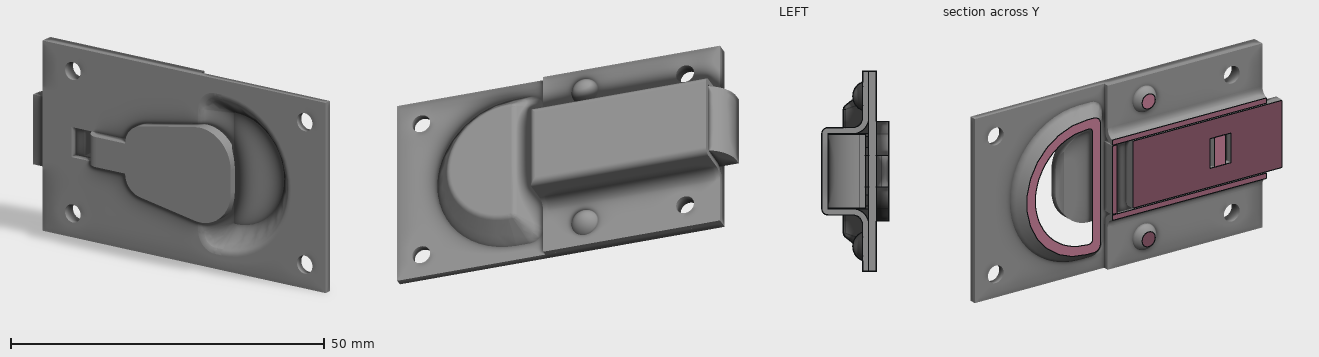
import cadquery as cq
import math


plate_length = 55.2
plate_height = 32.0
plate_thickness = 1.2

screw_hole_diameter = 3.0
screw_hole_near_x = 5.95
screw_hole_far_x = plate_length - 4.1
fastener_z = 12.0
rivet_x = 22.95
rivet_diameter = 2.7
rivet_head_diameter = 4.55
rivet_head_height = 1.6

dish_x = 34.9
dish_depth = 4.1
dish_inner_rim = (13.0, -4.0, 2.6)
dish_inner_floor = (9.35, -0.4, 0.2)
dish_outer_rim = (13.45, -4.55, 2.25)
dish_outer_floor = (10.25, -1.05, 0.45)
dish_bend_radius = 1.0
dish_rim_radius = 1.2
rim_margin = 0.6

sheet = 1.0
housing_length = 30.05
housing_depth = 7.5
housing_inner_height = 12.0
housing_corner_radius = 1.0
flange_bend_radius = 1.6

bolt_overhang = 3.0
bolt_height = 11.75
bolt_gap = 0.5
bolt_nose_radius = 5.0

handle_thickness = 2.0
arm_width = 5.05
arm_bend_x = 11.8
arm_bend_radius = 2.05
arm_bend_angle = 65.0
arm_tip_x = 7.05
pad_start_x = 17.5
pad_end_x = 38.05
pad_small_radius = 3.5
pad_large_radius = 6.0
pad_large_centre_z = 2.0
scoop_length = 1.1
scoop_depth = 0.8
scoop_sag = 0.1

slot_start_x = 5.65
slot_length = 9.0

guide_start_x = 15.7
guide_width = 11.05
guide_tongue_width = 7.55

rivet_points = [(rivet_x, -fastener_z), (rivet_x, fastener_z)]
plate_back = plate_thickness
flange_back = plate_back + sheet
housing_back = plate_back + housing_depth
bolt_front = plate_back + bolt_gap
bolt_back = housing_back - sheet
bolt_end_x = housing_length - sheet - bolt_overhang
arm_angle = math.radians(arm_bend_angle)
arm_slope = math.tan(arm_angle)
bend_end_x = arm_bend_x - arm_bend_radius * math.sin(arm_angle)
bend_end_y = -handle_thickness + arm_bend_radius * (1 - math.cos(arm_angle))
arm_tip_y = bend_end_y + (bend_end_x - arm_tip_x) * arm_slope
arm_run = handle_thickness / math.sin(arm_angle)
arm_back_x = bend_end_x + bend_end_y / arm_slope + arm_run


def box(x_range, y_range, height):
    """Block between two X and two Y values, centred on Z = 0."""
    (x0, x1), (y0, y1) = x_range, y_range
    return (
        cq.Workplane("XY")
        .box(x1 - x0, y1 - y0, height, centered=(False, False, True))
        .translate((x0, y0, 0))
    )


def cylinders(points, diameter, y0, y1):
    """Cylinders along Y at the given X, Z points."""
    return (
        cq.Workplane("XZ", origin=(0, y0, 0))
        .pushPoints(points)
        .circle(diameter / 2)
        .extrude(y0 - y1)
    )


def screw_holes(y0, y1):
    points = [(x, z) for x in (screw_hole_near_x, screw_hole_far_x) for z in (-fastener_z, fastener_z)]
    return cylinders(points, screw_hole_diameter, y0, y1)


def rivet_holes(y0, y1):
    return cylinders(rivet_points, rivet_diameter, y0, y1)


def dish_outline(sizes, y):
    """Half disc with a straight left side and two rounded corners."""
    radius, left, corner = sizes
    diagonal = corner * (1 - math.sqrt(0.5))
    return (
        cq.Workplane("XZ", origin=(dish_x, y, 0))
        .moveTo(left, corner - radius)
        .lineTo(left, radius - corner)
        .threePointArc((left + diagonal, radius - diagonal), (left + corner, radius))
        .lineTo(0, radius)
        .threePointArc((radius, 0), (0, -radius))
        .lineTo(left + corner, -radius)
        .threePointArc((left + diagonal, diagonal - radius), (left, corner - radius))
        .close()
        .val()
    )


def dish_solid(rim, rim_y, floor, floor_y):
    wires = [dish_outline(rim, rim_y), dish_outline(floor, floor_y)]
    return cq.Workplane(cq.Solid.makeLoft(wires, True))


def make_plate():
    plate = box((0, plate_length), (0, plate_thickness), plate_height)
    dish = dish_solid(dish_outer_rim, plate_back, dish_outer_floor, plate_back + dish_depth)
    dish = dish.faces(">Y").edges().fillet(dish_bend_radius)
    plate = plate.union(dish)
    plate = plate.cut(dish_solid(dish_inner_rim, 0, dish_inner_floor, dish_depth))
    rim = cq.selectors.BoxSelector(
        (plate_length / 2, -rim_margin, rim_margin - plate_height / 2),
        (plate_length - rim_margin, rim_margin, plate_height / 2 - rim_margin),
    )
    plate = plate.edges(rim).fillet(dish_rim_radius)
    slot = box((slot_start_x, slot_start_x + slot_length), (0, plate_back), arm_width)
    plate = plate.cut(slot)
    return plate.cut(screw_holes(0, plate_back)).cut(rivet_holes(0, plate_back))


def flared_block(half_height, bend_radius, foot):
    """Block behind the plate whose upper and lower sides curve outward into a flange face at Y = foot."""
    bend_y = foot + bend_radius
    bend_z = half_height + bend_radius
    block = box((0, housing_length), (plate_back, bend_y), 2 * bend_z)
    bends = (
        cq.Workplane("YZ")
        .pushPoints([(bend_y, -bend_z), (bend_y, bend_z)])
        .circle(bend_radius)
        .extrude(housing_length)
    )
    return block.cut(bends)


def make_housing():
    inner_half = housing_inner_height / 2
    outer_half = inner_half + sheet
    block = box((0, housing_length), (plate_back, housing_back), 2 * outer_half)
    block = block.faces(">Y").edges("not <X").fillet(housing_corner_radius)
    flare = flared_block(outer_half, flange_bend_radius, flange_back)
    flange = box((0, housing_length), (plate_back, flange_back), plate_height)
    housing = block.union(flare).union(flange)
    housing = housing.cut(box((0, housing_length - sheet), (plate_back, bolt_back), housing_inner_height))
    bends = flared_block(inner_half, flange_bend_radius + sheet, plate_back)
    wall = box((housing_length - sheet, housing_length), (plate_back, bolt_back), housing_inner_height)
    housing = housing.cut(bends.cut(wall))
    return housing.cut(screw_holes(plate_back, flange_back)).cut(rivet_holes(plate_back, flange_back))


def make_bolt():
    diagonal = bolt_nose_radius * (1 - math.sqrt(0.5))
    bolt = (
        cq.Workplane("XY", origin=(0, 0, -bolt_height / 2))
        .moveTo(-bolt_overhang, bolt_front)
        .lineTo(bolt_end_x, bolt_front)
        .lineTo(bolt_end_x, bolt_back)
        .lineTo(bolt_nose_radius - bolt_overhang, bolt_back)
        .threePointArc(
            (diagonal - bolt_overhang, bolt_back - diagonal),
            (-bolt_overhang, bolt_back - bolt_nose_radius),
        )
        .close()
        .extrude(bolt_height)
    )
    pocket_end_x = arm_back_x - bolt_front / arm_slope
    return bolt.cut(box((arm_tip_x, pocket_end_x), (bolt_front, arm_tip_y), arm_width))


def make_arm():
    half_angle = arm_angle / 2
    bend_mid = (
        arm_bend_x - arm_bend_radius * math.sin(half_angle),
        -handle_thickness + arm_bend_radius * (1 - math.cos(half_angle)),
    )
    return (
        cq.Workplane("XY", origin=(0, 0, -arm_width / 2))
        .moveTo(pad_start_x + pad_small_radius, -handle_thickness)
        .lineTo(arm_bend_x, -handle_thickness)
        .threePointArc(bend_mid, (bend_end_x, bend_end_y))
        .lineTo(arm_tip_x, arm_tip_y)
        .lineTo(arm_tip_x + arm_run, arm_tip_y)
        .lineTo(arm_back_x, 0)
        .lineTo(pad_start_x + pad_small_radius, 0)
        .close()
        .extrude(arm_width)
    )


def make_pad():
    """Thumb pad, mirrored about Z = 0, with a scoop under its far end."""
    small_x = pad_start_x + pad_small_radius
    small_z = arm_width / 2
    large_x = pad_end_x - pad_large_radius
    large_z = pad_large_centre_z
    span = math.hypot(large_x - small_x, large_z - small_z)
    flank = math.atan2(large_z - small_z, large_x - small_x)
    flank += math.asin((pad_large_radius - pad_small_radius) / span)

    normal = math.pi / 2 + flank
    small_mid = (normal + math.pi) / 2
    large_mid = normal / 2

    def small_point(angle, side):
        z = small_z + pad_small_radius * math.sin(angle)
        return (small_x + pad_small_radius * math.cos(angle), side * z)

    def large_point(angle, side):
        z = large_z + pad_large_radius * math.sin(angle)
        return (large_x + pad_large_radius * math.cos(angle), side * z)

    pad = (
        cq.Workplane("XZ")
        .moveTo(*small_point(math.pi, 1))
        .threePointArc(small_point(small_mid, 1), small_point(normal, 1))
        .lineTo(*large_point(normal, 1))
        .threePointArc(large_point(large_mid, 1), large_point(0, 1))
        .lineTo(*large_point(0, -1))
        .threePointArc(large_point(large_mid, -1), large_point(normal, -1))
        .lineTo(*small_point(normal, -1))
        .threePointArc(small_point(small_mid, -1), small_point(math.pi, -1))
        .close()
        .extrude(handle_thickness)
    )
    scoop = (
        cq.Workplane("XY", origin=(0, 0, -plate_height / 2))
        .moveTo(pad_end_x - scoop_length, 0)
        .threePointArc(
            (pad_end_x - scoop_length / 2 - scoop_sag, -scoop_depth / 2 - scoop_sag),
            (pad_end_x, -scoop_depth),
        )
        .lineTo(pad_end_x, 0)
        .close()
        .extrude(plate_height)
    )
    return pad.cut(scoop)


def make_guide():
    guide = box((guide_start_x, bolt_end_x), (plate_back, bolt_front), guide_width)
    cove = (
        cq.Workplane("XY", origin=(guide_start_x, bolt_front, -guide_width / 2))
        .circle(bolt_gap)
        .extrude(guide_width)
    )
    tongue = box((guide_start_x, guide_start_x + 2 * bolt_gap), (plate_back, bolt_front), guide_tongue_width)
    return guide.cut(cove.cut(tongue))


def make_rivet(x, z):
    head_radius = rivet_head_diameter / 2
    shank_radius = rivet_diameter / 2
    head_top = flange_back + rivet_head_height
    dome_radius = (head_radius**2 + rivet_head_height**2) / (2 * rivet_head_height)
    dome_mid_angle = math.asin(head_radius / dome_radius) / 2
    dome_mid = (
        dome_radius * math.sin(dome_mid_angle),
        head_top - dome_radius * (1 - math.cos(dome_mid_angle)),
    )
    return (
        cq.Workplane("XY")
        .lineTo(shank_radius, 0)
        .lineTo(shank_radius, flange_back)
        .lineTo(head_radius, flange_back)
        .threePointArc(dome_mid, (0, head_top))
        .close()
        .revolve(360, (0, 0, 0), (0, 1, 0))
        .translate((x, 0, z))
    )


plate = make_plate()
housing = make_housing()
bolt = make_bolt()
handle = make_pad().union(make_arm())
guide = make_guide()
rivets = [make_rivet(x, z).val() for x, z in rivet_points]

result = cq.Compound.makeCompound(
    [plate.val(), housing.val(), bolt.val(), handle.val(), guide.val(), *rivets]
)